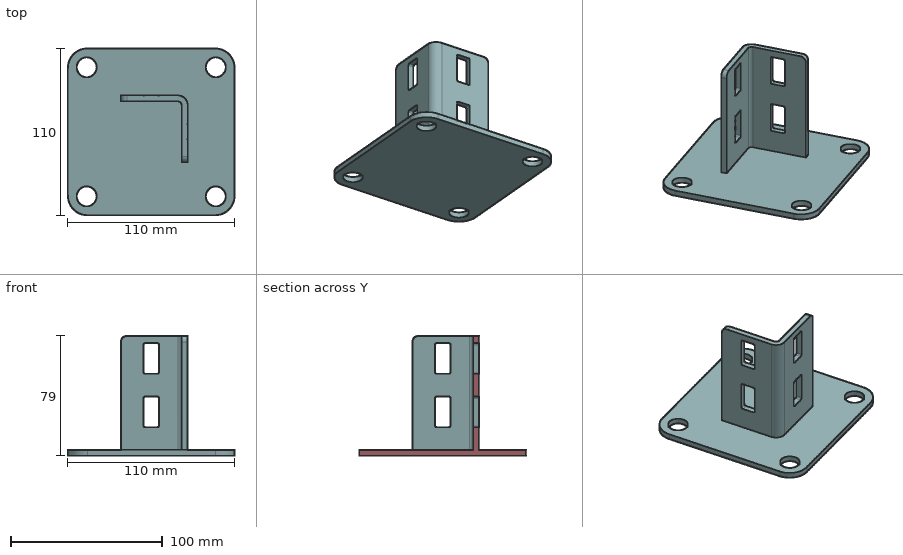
import cadquery as cq

plate_side = 110.0
plate_thickness = 4.0
plate_corner_radius = 13.0
hole_diameter = 13.0
hole_spacing = 85.0

total_height = 79.0
sheet_thickness = 4.0
leg_length = 44.0
bend_outer_radius = 6.4
bend_inner_radius = bend_outer_radius - sheet_thickness
leg_corner_radius = 4.0
outer_face = 24.0
inner_face = outer_face - sheet_thickness
leg_end = outer_face - leg_length

slot_width = 10.0
slot_height = 20.0
slot_corner_radius = 1.0
top_slot_height = 64.1
slot_pitch = 35.2


def base_plate():
    return (
        cq.Workplane("XY")
        .rect(plate_side, plate_side)
        .extrude(plate_thickness)
        .edges("|Z")
        .fillet(plate_corner_radius)
        .faces(">Z")
        .workplane()
        .rect(hole_spacing, hole_spacing, forConstruction=True)
        .vertices()
        .hole(hole_diameter)
    )


def bent_angle():
    angle = (
        cq.Workplane("XY")
        .workplane(offset=plate_thickness)
        .moveTo(leg_end, outer_face)
        .lineTo(outer_face, outer_face)
        .lineTo(outer_face, leg_end)
        .lineTo(inner_face, leg_end)
        .lineTo(inner_face, inner_face)
        .lineTo(leg_end, inner_face)
        .close()
        .extrude(total_height - plate_thickness)
    )
    angle = angle.edges(cq.selectors.NearestToPointSelector(
        (outer_face, outer_face, total_height / 2))).fillet(bend_outer_radius)
    angle = angle.edges(cq.selectors.NearestToPointSelector(
        (inner_face, inner_face, total_height / 2))).fillet(bend_inner_radius)
    angle = angle.faces("<X").edges(">Z").fillet(leg_corner_radius)
    return angle.faces("<Y").edges(">Z").fillet(leg_corner_radius)


def slot_cutter(height):
    """Slot through the leg facing Y, starting short of its inner face."""
    return (
        cq.Workplane("XY")
        .box(slot_width, plate_side / 2, slot_height, centered=(True, False, True))
        .edges("|Y")
        .fillet(slot_corner_radius)
        .translate((0, inner_face - sheet_thickness, height))
    )


result = base_plate().union(bent_angle())
for slot_z in (top_slot_height, top_slot_height - slot_pitch):
    slot = slot_cutter(slot_z)
    result = result.cut(slot)
    result = result.cut(slot.rotate((0, 0, 0), (0, 0, 1), -90))